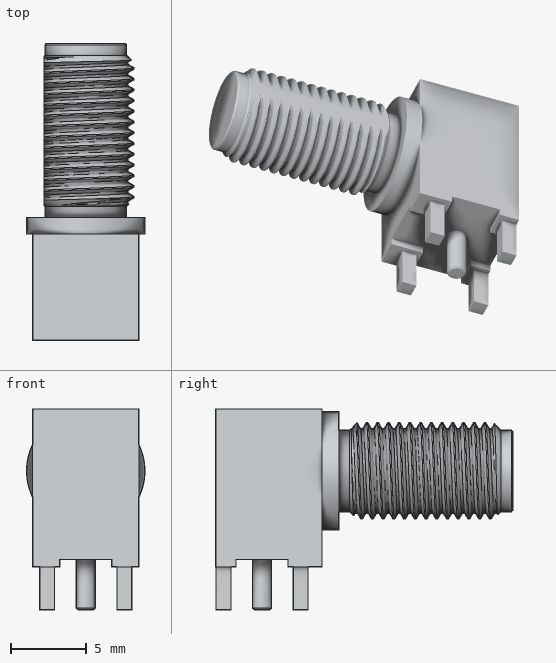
import cadquery as cq
import math


block_width = 7.0
block_depth = 7.0
block_front = -3.05
block_back = block_front + block_depth
block_height = 10.4
standoff = 0.48
foot_gap = 3.4

leg_size = 1.0
leg_spacing = 5.08
leg_length = 2.83
pin_diameter = 1.27
pin_chamfer = 0.13

axis_height = 6.315
barrel_end = 16.5
barrel_diameter = 5.38
barrel_chamfer = 0.1
flange_diameter = 7.8
flange_thickness = 1.1
flange_end = block_back + flange_thickness

thread_diameter = 6.35
thread_pitch = 25.4 / 36
thread_start = 5.77
thread_end = 15.71
crest_y = 14.67
flat_distance = 2.75
flank_angle = 30
flank_slope = math.tan(math.radians(flank_angle))
crest_width = thread_pitch / 8
root_width = thread_pitch / 4
crest_radius = thread_diameter / 2
flank_points = 12
envelope_margin = 0.5
thread_depth = (thread_pitch - crest_width - root_width) / 2 / flank_slope
root_radius = crest_radius - thread_depth


def box(x_range, y_range, z_range):
    """Box spanning the given (low, high) ranges."""
    size = [high - low for low, high in (x_range, y_range, z_range)]
    corner = (x_range[0], y_range[0], z_range[0])
    return cq.Workplane("XY").box(*size, centered=False).translate(corner)


def barrel_cylinder(diameter, y_start, y_end):
    """Cylinder on the barrel axis between two Y positions."""
    plane = cq.Plane((0, y_start, axis_height), xDir=(1, 0, 0), normal=(0, 1, 0))
    return cq.Workplane(plane).circle(diameter / 2).extrude(y_end - y_start)


def make_housing():
    """Rectangular block standing on four corner feet."""
    half_width = block_width / 2
    half_gap = foot_gap / 2
    housing = box((-half_width, half_width), (block_front, block_back), (standoff, block_height))
    for x_range in ((-half_width, -half_gap), (half_gap, half_width)):
        for y_range in ((block_front, -half_gap), (half_gap, block_back)):
            housing = housing.union(box(x_range, y_range, (0, standoff)))
    return housing


def make_legs():
    """Four square ground legs below the feet."""
    return (
        cq.Workplane("XY")
        .rect(leg_spacing, leg_spacing, forConstruction=True)
        .vertices()
        .rect(leg_size, leg_size)
        .extrude(-leg_length)
    )


def make_pin():
    """Round solder pin with a chamfered tip."""
    return (
        cq.Workplane("XY")
        .workplane(offset=standoff)
        .circle(pin_diameter / 2)
        .extrude(-(standoff + leg_length))
        .faces("<Z")
        .chamfer(pin_chamfer)
    )


def polar_point(radius, turn):
    """Point at a radius and an angle given as a fraction of a full turn."""
    angle = 2 * math.pi * turn
    return (radius * math.cos(angle), radius * math.sin(angle))


def make_threaded_rod():
    """Untrimmed thread: its cross-section twisted along the axis, past both barrel ends.

    A section square to the axis meets the crest, a flank, the root and the other flank in one
    turn, each over a share of the turn equal to its share of the pitch.
    """
    crest_half_turn = crest_width / thread_pitch / 2
    root_half_turn = root_width / thread_pitch / 2
    root_start = 0.5 - root_half_turn
    root_end = 0.5 + root_half_turn
    flank_turn = root_start - crest_half_turn

    def falling_flank(t):
        return polar_point(crest_radius - thread_depth * t, crest_half_turn + flank_turn * t)

    def rising_flank(t):
        return polar_point(root_radius + thread_depth * t, root_end + flank_turn * t)

    turns_below = math.ceil((crest_y - flange_end) / thread_pitch)
    rod_start = crest_y - turns_below * thread_pitch
    turn_count = math.ceil((barrel_end - rod_start) / thread_pitch)
    plane = cq.Plane((0, rod_start, axis_height), xDir=(0, 0, 1), normal=(0, 1, 0))
    return (
        cq.Workplane(plane)
        .moveTo(*polar_point(crest_radius, -crest_half_turn))
        .threePointArc(polar_point(crest_radius, 0), polar_point(crest_radius, crest_half_turn))
        .parametricCurve(falling_flank, N=flank_points, makeWire=False)
        .moveTo(*polar_point(root_radius, root_start))
        .threePointArc(polar_point(root_radius, 0.5), polar_point(root_radius, root_end))
        .parametricCurve(rising_flank, N=flank_points, makeWire=False)
        .wire()
        .twistExtrude(turn_count * thread_pitch, 360 * turn_count)
    )


def make_barrel():
    """Barrel with plain ends, a chamfered tip, a 45 degree ended thread and a -X side flat."""
    envelope_radius = crest_radius + envelope_margin
    end_chamfer = envelope_radius - barrel_diameter / 2
    thread_envelope = barrel_cylinder(2 * envelope_radius, thread_start, thread_end)
    thread_envelope = thread_envelope.faces("|Y").chamfer(end_chamfer)
    flat_cut = box(
        (-thread_diameter, -flat_distance),
        (thread_start, thread_end),
        (axis_height - thread_diameter, axis_height + thread_diameter),
    )
    envelope = barrel_cylinder(barrel_diameter, flange_end, barrel_end)
    envelope = envelope.faces(">Y").chamfer(barrel_chamfer)
    envelope = envelope.union(thread_envelope)
    return make_threaded_rod().intersect(envelope, clean=False).cut(flat_cut, clean=False)


def make_flange():
    """Round flange between the housing and the barrel."""
    return barrel_cylinder(flange_diameter, block_back, flange_end)


result = make_housing().union(make_legs()).union(make_pin()).union(make_flange())
result = result.union(make_barrel(), clean=False)